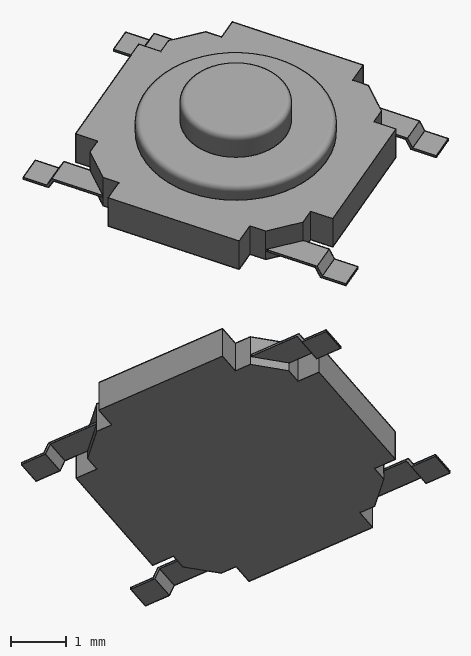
import cadquery as cq

body_width = 5.1
body_height = 0.7
core_width = 4.225
arm_width = 2.6
corner_chamfer = 0.5

collar_diameter = 3.6
collar_top = 1.0
button_diameter = 2.0
overall_height = 1.5
edge_radius = 0.1

lead_span = 6.4
lead_width = 0.5
lead_thickness = 0.048
lead_rise = 0.2
lead_center_y = 1.855
foot_length = 0.47
bend_run = 0.1
bend_shift = 0.04
lead_root_x = core_width / 2 - corner_chamfer


def make_housing():
    core = cq.Workplane("XY").rect(core_width, core_width).extrude(body_height)
    core = core.edges("|Z").chamfer(corner_chamfer)
    arm_x = cq.Workplane("XY").rect(body_width, arm_width).extrude(body_height)
    arm_y = cq.Workplane("XY").rect(arm_width, body_width).extrude(body_height)
    return core.union(arm_x).union(arm_y)


def make_disc(diameter, bottom, top):
    disc = cq.Workplane("XY").workplane(offset=bottom).circle(diameter / 2).extrude(top - bottom)
    return disc.faces(">Z").edges().fillet(edge_radius)


def make_lead(center_y):
    """Lead on the +X side, running from the housing corner down to its foot."""
    tip_x = lead_span / 2
    foot_top_x = tip_x - foot_length
    foot_bottom_x = foot_top_x - bend_shift
    profile = [
        (lead_root_x, lead_rise),
        (foot_bottom_x - bend_run, lead_rise),
        (foot_bottom_x, 0),
        (tip_x, 0),
        (tip_x, lead_thickness),
        (foot_top_x, lead_thickness),
        (foot_top_x - bend_run, lead_rise + lead_thickness),
        (lead_root_x, lead_rise + lead_thickness),
    ]
    plane = cq.Workplane("XZ", origin=(0, center_y, 0))
    return plane.polyline(profile).close().extrude(lead_width / 2, both=True)


result = make_housing()
result = result.union(make_disc(collar_diameter, body_height, collar_top))
result = result.union(make_disc(button_diameter, collar_top, overall_height))
for center_y in (-lead_center_y, lead_center_y):
    lead = make_lead(center_y)
    result = result.union(lead).union(lead.mirror("YZ"))